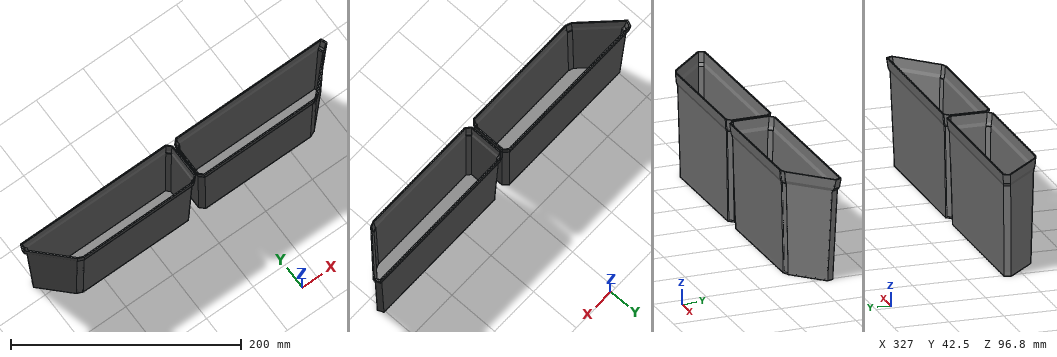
import cadquery as cq
import math

PAIR_LENGTH = 327.0
TRAY_WIDTH = 42.5
TRAY_HEIGHT = 96.8
END_GAP = 2.0

LIP_BOTTOM_Z = 88.0
BODY_TOP_Z = 85.0
FOOT_TOP_Z = 3.5

LIP_BOTTOM_INSET = 0.82
BODY_TOP_INSET = 1.8
FOOT_INSET = 4.0

WALL = 1.15
FLOOR = WALL
OUTER_FACET = 6.2
INNER_FACET = 5.0

SQUARE_TURN = 90
ACUTE_TURN = 135
OBTUSE_TURN = 45


def corner_setback(turn, facet):
    """Distance from a sharp corner to each edge of a facet of the given width."""
    return facet / 2 / math.cos(math.radians(turn / 2))


def outline_corners(inset):
    """Sharp corners (x, y, turn) of the tray on the +X side, anticlockwise."""
    tip_cut = corner_setback(ACUTE_TURN, OUTER_FACET) * math.cos(math.radians(OBTUSE_TURN))
    rim_tip_x = PAIR_LENGTH / 2 + tip_cut
    tip_x = rim_tip_x - inset * (1 + math.sqrt(2))
    heel_x = rim_tip_x - TRAY_WIDTH - inset * (math.sqrt(2) - 1)
    end_x = END_GAP / 2 + inset
    y = TRAY_WIDTH / 2 - inset
    return [
        (end_x, -y, SQUARE_TURN),
        (heel_x, -y, OBTUSE_TURN),
        (tip_x, y, ACUTE_TURN),
        (end_x, y, SQUARE_TURN),
    ]


def section(z, inset, facet):
    """Closed outline of the tray at height z, with every corner cut by a facet."""
    corners = outline_corners(inset)
    points = []
    for i, (x, y, turn) in enumerate(corners):
        corner = cq.Vector(x, y, z)
        setback = corner_setback(turn, facet)
        for neighbour in (corners[i - 1], corners[(i + 1) % len(corners)]):
            along = (cq.Vector(neighbour[0], neighbour[1], z) - corner).normalized()
            points.append(corner + along * setback)
    return cq.Wire.makePolygon(points, close=True)


def tapered_block(facet, levels):
    """Flat-sided solid through the sections given as (z, inset) pairs."""
    return cq.Solid.makeLoft([section(z, inset, facet) for z, inset in levels], True)


def make_tray():
    """Open tray on the +X side: flared lip, tapered walls and an upright foot."""
    walls = [
        (FOOT_TOP_Z, FOOT_INSET),
        (BODY_TOP_Z, BODY_TOP_INSET),
        (LIP_BOTTOM_Z, LIP_BOTTOM_INSET),
        (TRAY_HEIGHT, 0),
    ]
    outside_levels = [(0, FOOT_INSET)] + walls
    cavity_levels = [(z, inset + WALL) for z, inset in [(FLOOR, FOOT_INSET)] + walls]
    outside = tapered_block(OUTER_FACET, outside_levels)
    cavity = tapered_block(INNER_FACET, cavity_levels)
    return cq.Workplane(outside).cut(cq.Workplane(cavity))


trays = []
for turned_to_minus_x in (True, False):
    tray = make_tray()
    if turned_to_minus_x:
        tray = tray.mirror("YZ")
    trays.append(tray.val())

result = cq.Compound.makeCompound(trays)